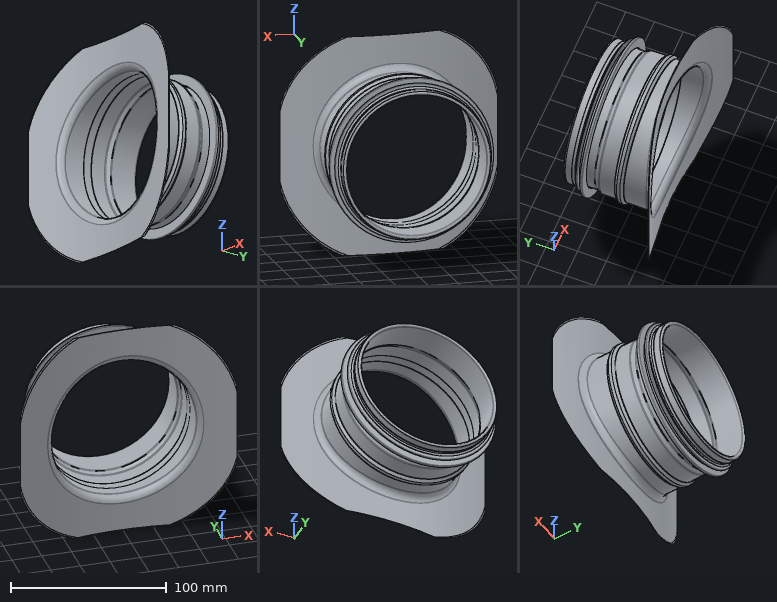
import cadquery as cq
import math


sheet = 0.5

pipe_radius = 200.0
saddle_outer_radius = pipe_radius + sheet
saddle_width = 145.0
saddle_height = 146.0
corner_radius = 68.2
corner_end_x = 33.6
corner_end_z = 28.7
bevel_width = 1.25
bevel_depth = 0.95 * sheet
overall_depth = 69.05

wide_outer = 98.05 / 2
wide_inner = wide_outer - sheet
narrow_outer = 94.25 / 2
narrow_inner = narrow_outer - sheet
step_depth = 21.25
step_angle = math.radians(30)
step_length = (wide_outer - narrow_outer) / math.tan(step_angle)
bend_inside = 1.0
bend_outside = bend_inside + sheet
collar_bore_fillet = 5.0
collar_outer_fillet = collar_bore_fillet - sheet

bead_radius = 50.8
bead_middle_depth = 38.9
bead_base_width = 6.2
bead_crest_width = 2.3
bead_root_fillet = 0.5

lip_outer = 99.05 / 2
lip_inner = lip_outer - sheet
lip_length = 6.0
lip_bend_outer = (lip_outer - narrow_inner) / 2

gasket_inner = 95.45 / 2
gasket_outer = lip_inner
small_fin_radius = 100.9 / 2
small_fin_start = 8.1
small_fin_tip = 8.85
small_fin_end = 9.1
seal_fin_radius = 104.45 / 2
seal_fin_start = 9.9
seal_fin_end = 11.2
flange_radius = 109.45 / 2
flange_start = 13.7
flange_end = 15.6
fin_tip_fillet = 0.3

saddle_edge_y = math.sqrt(pipe_radius**2 - (saddle_width / 2) ** 2)
end_y = saddle_edge_y + overall_depth
tube_start_depth = lip_bend_outer
tube_reach_depth = overall_depth
bead_start = bead_middle_depth - bead_base_width / 2
bead_end = bead_middle_depth + bead_base_width / 2
crest_start = bead_middle_depth - bead_crest_width / 2
crest_end = bead_middle_depth + bead_crest_width / 2

tolerance = 0.01
opening_tolerance = 0.1


def at(radius, depth):
    """Profile point at a radius and a depth from the open end of the spigot."""
    return (radius, end_y - depth)


def turned(profile):
    """Close a (radius, Y) profile and revolve it about the Y axis."""
    return profile.close().revolve(360, (0, 0, 0), (0, 1, 0))


def turned_polygon(points):
    return turned(cq.Workplane("XY").polyline(points))


def rounded_ring(body, radius, depth, fillet_radius):
    """Fillet the circular edge of a turned body found at a radius and depth."""

    def is_ring(edge):
        if edge.geomType() != "CIRCLE":
            return False
        same_radius = abs(edge.radius() - radius) < tolerance
        same_place = abs(edge.Center().y - (end_y - depth)) < tolerance
        return same_radius and same_place

    return body.edges().filter(is_ring).fillet(fillet_radius)


def saddle_opening_edge(body, radius):
    """Curved edge where a cylinder of this radius about Y meets a face of the saddle."""

    def is_opening(edge):
        height = edge.BoundingBox().zlen
        return edge.geomType() not in ("LINE", "CIRCLE") and abs(height - 2 * radius) < opening_tolerance

    return body.edges().filter(is_opening)


def pipe_cylinder(radius):
    return cq.Workplane("XY").circle(radius).extrude(saddle_height / 2, both=True)


def saddle_outline():
    """Rectangle with its corners rounded by large arcs, drawn in the XZ plane."""
    half_width = saddle_width / 2
    half_height = saddle_height / 2
    return (
        cq.Workplane("XZ")
        .moveTo(-corner_end_x, half_height)
        .lineTo(corner_end_x, half_height)
        .radiusArc((half_width, corner_end_z), corner_radius)
        .lineTo(half_width, -corner_end_z)
        .radiusArc((corner_end_x, -half_height), corner_radius)
        .lineTo(-corner_end_x, -half_height)
        .radiusArc((-half_width, -corner_end_z), corner_radius)
        .lineTo(-half_width, corner_end_z)
        .radiusArc((-corner_end_x, half_height), corner_radius)
        .close()
    )


def make_saddle_plate():
    shell = pipe_cylinder(saddle_outer_radius).cut(pipe_cylinder(pipe_radius))
    plate = shell.intersect(saddle_outline().extrude(-2 * saddle_outer_radius))

    def is_pipe_side_corner(edge):
        start = edge.startPoint()
        on_pipe = abs(math.hypot(start.x, start.y) - pipe_radius) < tolerance
        return on_pipe and edge.geomType() == "BSPLINE"

    return plate.edges().filter(is_pipe_side_corner).chamfer(bevel_depth, bevel_width)


def stepped_core(narrow, wide, cone_start, narrow_bend, wide_bend):
    """Solid turned core: narrow part, step cone and wide part, with the bends rounded."""
    cone_end = cone_start + step_length
    core = turned_polygon([
        at(0, tube_start_depth),
        at(narrow, tube_start_depth),
        at(narrow, cone_start),
        at(wide, cone_end),
        at(wide, tube_reach_depth),
        at(0, tube_reach_depth),
    ])
    core = rounded_ring(core, narrow, cone_start, narrow_bend)
    return rounded_ring(core, wide, cone_end, wide_bend)


def make_bead():
    """Solid ring on the outside of the tube, rooted halfway into the sheet."""
    bead_root = wide_inner + sheet / 2
    bead = turned_polygon([
        at(bead_root, bead_start - bead_root_fillet),
        at(wide_outer, bead_start - bead_root_fillet),
        at(wide_outer, bead_start),
        at(bead_radius, crest_start),
        at(bead_radius, crest_end),
        at(wide_outer, bead_end),
        at(wide_outer, bead_end + bead_root_fillet),
        at(bead_root, bead_end + bead_root_fillet),
    ])
    bead = rounded_ring(bead, wide_outer, bead_start, bead_root_fillet)
    return rounded_ring(bead, wide_outer, bead_end, bead_root_fillet)


def make_lip():
    """Tube end rolled back on itself in a half turn."""
    middle = (narrow_inner + lip_outer) / 2
    profile = (
        cq.Workplane("XY")
        .moveTo(*at(narrow_inner, lip_bend_outer))
        .threePointArc(at(middle, 0), at(lip_outer, lip_bend_outer))
        .lineTo(*at(lip_outer, lip_length))
        .lineTo(*at(lip_inner, lip_length))
        .lineTo(*at(lip_inner, lip_bend_outer))
        .threePointArc(at(middle, sheet), at(narrow_outer, lip_bend_outer))
    )
    return turned(profile)


def make_saddle_spigot():
    outer = stepped_core(narrow_outer, wide_outer, step_depth, bend_inside, bend_outside)
    bore_cone_start = step_depth + sheet * math.tan(step_angle / 2)
    bore = stepped_core(narrow_inner, wide_inner, bore_cone_start, bend_outside, bend_inside)
    body = outer.cut(pipe_cylinder(pipe_radius)).union(make_saddle_plate())
    body = saddle_opening_edge(body, wide_outer).fillet(collar_outer_fillet)
    body = body.cut(bore)
    body = saddle_opening_edge(body, wide_inner).fillet(collar_bore_fillet)
    return body.union(make_bead()).union(make_lip())


def make_gasket():
    """Rubber ring held by the lip, with a small fin, a sealing fin and a stop flange."""
    ring = turned_polygon([
        at(gasket_inner, lip_bend_outer),
        at(gasket_outer, lip_bend_outer),
        at(gasket_outer, small_fin_start),
        at(small_fin_radius, small_fin_tip),
        at(gasket_outer, small_fin_end),
        at(gasket_outer, seal_fin_start),
        at(seal_fin_radius, seal_fin_start),
        at(seal_fin_radius, seal_fin_end),
        at(gasket_outer, seal_fin_end),
        at(gasket_outer, flange_start),
        at(flange_radius, flange_start),
        at(flange_radius, flange_end),
        at(gasket_inner, flange_end),
    ])
    for depth in (seal_fin_start, seal_fin_end):
        ring = rounded_ring(ring, seal_fin_radius, depth, fin_tip_fillet)
    for depth in (flange_start, flange_end):
        ring = rounded_ring(ring, flange_radius, depth, fin_tip_fillet)
    return ring


saddle_spigot = make_saddle_spigot()
gasket = make_gasket()

result = cq.Compound.makeCompound([saddle_spigot.val(), gasket.val()])